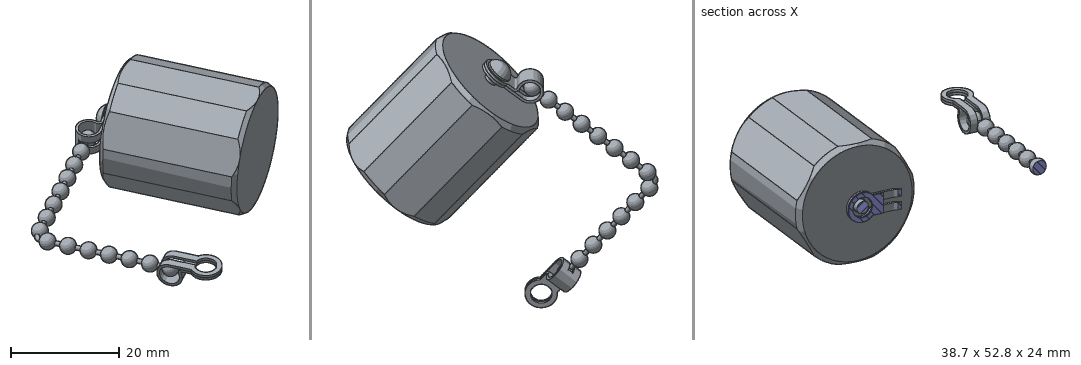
import cadquery as cq
import math


cap_length = 26.95
cap_across_flats = 24.0
cap_corner_radius = 12.55
front_chamfer = 0.95
rear_chamfer_radial = 0.55
rear_chamfer_length = 0.95

rivet_radius = 1.25
rivet_head_radius = 2.5
rivet_head_rim = 0.35
rivet_head_height = 1.9
rivet_tip_radius = 0.6
collar_radius = 1.4
collar_thickness = 0.1
collar_x = -0.85

sheet = 0.55
plate_gap = 0.025
strip_width = 4.2
loop_radius = 2.5
bend_radius = 0.6
loop_to_eye = 6.4
eye_radius = 3.0
eye_hole_radius = 2.0
slot_width = 1.1
slot_reach = 1.4
cap_clip_gap = 1.3

bead_radius = 1.6
link_radius = 0.5
column_beads = 8
row_beads = 7
column_length = 27.95
bead_pitch = column_length / (column_beads - 1)
column_x = -(cap_clip_gap + loop_radius)
column_start_y = -6.9
row_start_x = -1.5
overall_width = 52.85
row_y = cap_corner_radius - overall_width + eye_radius
corner_bend_radius = 0.95

end_loop_x = 23.0
end_loop_z = 0.05


def make_rivet():
    """Shank out of the cap face, with a thin collar and a domed head that holds the first clip."""
    seat_x = -(cap_clip_gap + 2 * sheet + plate_gap)
    rim_x = seat_x - rivet_head_rim
    tip_x = seat_x - rivet_head_height
    rise = rim_x - tip_x
    centre_x = tip_x + (rise**2 + rivet_head_radius**2 - rivet_tip_radius**2) / (2 * rise)
    dome_radius = math.hypot(rivet_tip_radius, centre_x - tip_x)
    dome_mid = (centre_x - dome_radius * math.cos(math.pi / 4), dome_radius * math.sin(math.pi / 4))
    rivet = (
        cq.Workplane("XY")
        .moveTo(0, 0)
        .lineTo(0, rivet_radius)
        .lineTo(seat_x, rivet_radius)
        .lineTo(seat_x, rivet_head_radius)
        .lineTo(rim_x, rivet_head_radius)
        .threePointArc(dome_mid, (tip_x, rivet_tip_radius))
        .lineTo(tip_x, 0)
        .close()
        .revolve(360, (0, 0, 0), (1, 0, 0))
    )
    collar_start = collar_x - collar_thickness / 2
    collar = cq.Workplane("YZ", origin=(collar_start, 0, 0)).circle(collar_radius).extrude(collar_thickness)
    return rivet.union(collar)


def make_cap():
    """Hexagonal bar trimmed by a chamfered cylinder, with the rivet on its face."""
    hexagon = (
        cq.Workplane("YZ")
        .transformed(rotate=(0, 0, 30))
        .polygon(6, cap_across_flats, circumscribed=True)
        .extrude(cap_length)
    )
    turned = (
        cq.Workplane("XY")
        .polyline([
            (0, 0),
            (0, cap_corner_radius - front_chamfer),
            (front_chamfer, cap_corner_radius),
            (cap_length - rear_chamfer_length, cap_corner_radius),
            (cap_length, cap_corner_radius - rear_chamfer_radial),
            (cap_length, 0),
        ])
        .close()
        .revolve(360, (0, 0, 0), (1, 0, 0))
    )
    return hexagon.intersect(turned).union(make_rivet())


def eye_disc(radius, plate_z):
    """Disc as thick as the sheet, centred on the clip's eye in one plate."""
    return cq.Workplane("XY", origin=(loop_to_eye, 0, plate_z - sheet / 2)).circle(radius).extrude(sheet)


def make_clip():
    """Clip with its loop round the Y axis, its eye towards +X and its plates on the +Z side."""
    mid_radius = loop_radius - sheet / 2
    inner_plate_z = mid_radius - sheet - plate_gap
    bend_z = inner_plate_z - bend_radius
    bend_x = math.sqrt((mid_radius + bend_radius) ** 2 - bend_z**2)
    meet_angle = math.atan2(bend_z, bend_x)
    meet = (mid_radius * math.cos(meet_angle), mid_radius * math.sin(meet_angle))
    loop_mid_angle = (math.pi / 2 + meet_angle) / 2 + math.pi
    loop_mid = (mid_radius * math.cos(loop_mid_angle), mid_radius * math.sin(loop_mid_angle))
    bend_mid_angle = (math.pi / 2 + meet_angle + math.pi) / 2
    bend_mid = (
        bend_x + bend_radius * math.cos(bend_mid_angle),
        bend_z + bend_radius * math.sin(bend_mid_angle),
    )
    centreline = (
        cq.Workplane("XZ")
        .moveTo(loop_to_eye, mid_radius)
        .lineTo(0, mid_radius)
        .threePointArc(loop_mid, meet)
        .threePointArc(bend_mid, (bend_x, inner_plate_z))
        .lineTo(loop_to_eye, inner_plate_z)
    )
    clip = cq.Workplane("YZ", origin=(loop_to_eye, 0, mid_radius)).rect(strip_width, sheet).sweep(centreline)
    for plate_z in (mid_radius, inner_plate_z):
        clip = clip.union(eye_disc(eye_radius, plate_z))
    for plate_z in (mid_radius, inner_plate_z):
        clip = clip.cut(eye_disc(eye_hole_radius, plate_z))
    loop_slot = cq.Workplane("XY").box(
        loop_radius, slot_width, loop_radius + slot_reach, centered=(False, True, False)
    )
    plate_slot = cq.Workplane("XY").box(loop_to_eye, slot_width, sheet, centered=(False, True, False))
    clip = clip.cut(loop_slot.translate((-loop_radius, 0, -slot_reach)))
    return clip.cut(plate_slot.translate((0, 0, loop_radius - sheet)))


def make_chain():
    """Beads on a bent wire, with a clip at each end."""
    row_end_x = row_start_x + (row_beads - 1) * bead_pitch
    corner_mid = corner_bend_radius * (1 - math.sqrt(0.5))
    path = (
        cq.Workplane("XY")
        .moveTo(column_x, column_start_y)
        .lineTo(column_x, row_y + corner_bend_radius)
        .threePointArc(
            (column_x + corner_mid, row_y + corner_mid),
            (column_x + corner_bend_radius, row_y),
        )
        .lineTo(row_end_x, row_y)
    )
    chain = cq.Workplane("XZ", origin=(column_x, column_start_y, 0)).circle(link_radius).sweep(path)
    column = [(column_x, column_start_y - i * bead_pitch, 0) for i in range(column_beads)]
    row = [(row_start_x + i * bead_pitch, row_y, 0) for i in range(row_beads)]
    for centre in column + row:
        chain = chain.union(cq.Workplane("XY").sphere(bead_radius).translate(centre))
    cap_clip = (
        make_clip()
        .rotate((0, 0, 0), (1, 0, 0), 90)
        .rotate((0, 0, 0), (0, 0, 1), 90)
        .translate((column_x, -loop_to_eye, 0))
    )
    end_clip = make_clip().translate((end_loop_x, row_y, end_loop_z))
    return chain.union(cap_clip).union(end_clip)


cap = make_cap()
chain = make_chain()
result = cq.Compound.makeCompound([*cap.solids().vals(), *chain.solids().vals()])